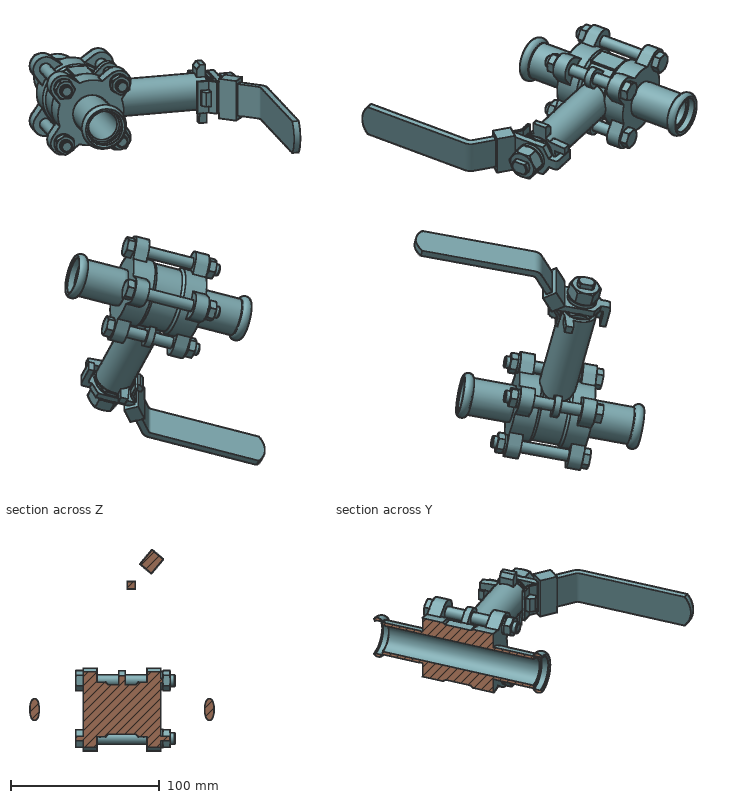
import cadquery as cq
import math


pipe_half_length = 62.0
pipe_dia = 25.5
neck_dia = 25.0
neck_length = 1.0
neck_taper = 1.1
bore_dia = 20.0
socket_dia = 25.5
socket_depth = 6.0
lead_in_dia = 22.8
lead_in_depth = 0.5
bead_dia = 30.8
bead_width = 6.8
mouth_dia = 27.3
lip_dia = 24.0
lip_bevel_depth = 0.7
cap_dia = 46.0
middle_dia = 43.0
middle_half_length = 9.1
cap_inner_x = 11.0
cap_outer_x = 26.2

bolt_circle_dia = 55.0
bolt_offset = bolt_circle_dia / 2 / math.sqrt(2)
lobe_radius = 8.5
lobe_thickness = 9.5
lobe_root_angle = 20.0
ear_radius = 6.75
ear_half_thickness = 2.3
ear_root_angle = 26.2
bolt_dia = 8.0
bolt_tip_x = 35.9
bolt_tip_chamfer = 0.7
hex_flats = 12.0
hex_bevel_dia = 12.5
head_height = 5.0
washer_dia = 12.5
washer_thickness = 1.4
nut_height = 4.8

pad_half_length = 9.6
pad_width = 13.7
pad_top_z = 21.9

tube_dia = 25.0
tube_top_y = 86.2
lug_height = 6.0
lug_reach = 20.0
lug_width = 10.0
lug_chamfer_out = 3.0
lug_chamfer_down = 2.3
stop_height = 5.2
stop_end_z = 8.5
stop_taper = 5.0
stack_dia = 20.0
lock_nut_bottom_y = 88.2
lock_nut_flats = 22.4
lock_nut_bevel_dia = 21.0
lock_nut_bevel_angle = 45.0
stem_nut_bottom_y = 98.3
stem_nut_height = 9.6
stem_nut_flats = 18.8
stem_nut_bevel_dia = 18.6
stem_dia = 11.8
stem_flats = 8.2
stem_tip_y = 111.5
stem_tip_chamfer = 0.6

lever_thickness = 4.5
lever_half_width = 11.2
lever_angle = 50.0
lever_plate_y = 95.9
grip_y = 120.0
grip_end_x = 119.95
grip_arc_sagitta = 4.45
first_bend_x = 14.4
outer_bend_radius = 7.5
hook_x = -20.2
hook_thickness = 4.0
hook_half_width = 3.5
hook_bottom_y = 79.4
hook_bend_radius = 2.2
hook_inner_radius = 1.0
shoulder_start_x = -13.5
shoulder_end_x = -8.9

sleeve_center = (20.0, 99.5)
sleeve_length = 12.7
sleeve_depth = 10.1
sleeve_half_width = 14.0
tongue_thickness = 1.6
tongue_x = 12.7
tongue_knee_y = 86.5
tongue_bottom_y = 78.1


def x_cylinder(dia, x_start, x_end):
    return cq.Workplane("YZ", origin=(x_start, 0, 0)).circle(dia / 2).extrude(x_end - x_start)


def y_cylinder(dia, y_start, y_end):
    return cq.Workplane("XZ", origin=(0, y_start, 0)).circle(dia / 2).extrude(y_start - y_end)


def box(x_range, y_range, z_range):
    size = [high - low for low, high in (x_range, y_range, z_range)]
    corner = (x_range[0], y_range[0], z_range[0])
    return cq.Workplane("XY").box(*size, centered=False).translate(corner)


def hexagon(flats, bevel_dia, height, bevel_angle=30.0, bevel_bottom=True):
    """Hexagonal prism along +Z with corners on X, its ends turned down conically to bevel_dia."""
    corner_radius = flats / 2 / math.cos(math.pi / 6)
    inset = corner_radius - bevel_dia / 2
    drop = inset * math.tan(math.radians(bevel_angle))
    prism = cq.Workplane("XY").polygon(6, 2 * corner_radius).extrude(height)
    outline = cq.Workplane("XZ")
    if bevel_bottom:
        outline = outline.lineTo(bevel_dia / 2, 0).lineTo(corner_radius, drop)
    else:
        outline = outline.lineTo(corner_radius, 0)
    outline = outline.lineTo(corner_radius, height - drop).lineTo(bevel_dia / 2, height).lineTo(0, height)
    return prism.intersect(outline.close().revolve(360, (0, 0, 0), (0, 1, 0)))


def lobe(radius, root_radius, root_angle, x_start, x_end):
    """Bolt lobe in the +Y +Z corner: a round end with sides running tangent to the body."""
    center = (bolt_offset, bolt_offset)
    spread = math.radians(root_angle)
    root = (root_radius * math.cos(spread), root_radius * math.sin(spread))
    toward_root = (root[0] - center[0], root[1] - center[1])
    distance = math.hypot(*toward_root)
    angle = math.atan2(toward_root[1], toward_root[0]) + math.acos(radius / distance)
    tangent = (center[0] + radius * math.cos(angle), center[1] + radius * math.sin(angle))
    tip = bolt_offset + radius / math.sqrt(2)
    return (
        cq.Workplane("YZ", origin=(x_start, 0, 0))
        .moveTo(0, 0)
        .lineTo(*root)
        .lineTo(*tangent)
        .threePointArc((tip, tip), tangent[::-1])
        .lineTo(*root[::-1])
        .close()
        .extrude(x_end - x_start)
    )


def make_pipe_half():
    """Solid pipe end on the +X side, from the neck at the body to the rounded bead at the mouth."""
    neck_end = cap_outer_x + neck_length
    bead_start = pipe_half_length - bead_width
    outline = (
        cq.Workplane("XY")
        .moveTo(0, 0)
        .lineTo(0, neck_dia / 2)
        .lineTo(neck_end, neck_dia / 2)
        .lineTo(neck_end + neck_taper, pipe_dia / 2)
        .lineTo(bead_start, pipe_dia / 2)
        .threePointArc((bead_start + bead_width / 2, bead_dia / 2), (pipe_half_length, mouth_dia / 2))
        .lineTo(pipe_half_length, 0)
        .close()
    )
    return outline.revolve(360, (0, 0, 0), (1, 0, 0))


def make_body():
    """Middle section between two flanged end caps, with two bolt ears and a flat pad on top."""
    body = x_cylinder(middle_dia, -cap_inner_x, cap_inner_x)
    cap = (
        cq.Workplane("XY")
        .moveTo(middle_half_length, 0)
        .lineTo(middle_half_length, middle_dia / 2)
        .lineTo(cap_inner_x, cap_dia / 2)
        .lineTo(cap_outer_x, cap_dia / 2)
        .lineTo(cap_outer_x, 0)
        .close()
        .revolve(360, (0, 0, 0), (1, 0, 0))
    )
    half = cap.union(make_pipe_half())
    corner = lobe(lobe_radius, cap_dia / 2, lobe_root_angle, cap_outer_x - lobe_thickness, cap_outer_x)
    for quarter in range(4):
        half = half.union(corner.rotate((0, 0, 0), (1, 0, 0), 90 * quarter))
    body = body.union(half).union(half.mirror("YZ"))

    ear = lobe(ear_radius, middle_dia / 2, ear_root_angle, -ear_half_thickness, ear_half_thickness)
    body = body.union(ear).union(ear.mirror("XY"))
    pad = box((-pad_half_length, pad_half_length), (-pad_width / 2, pad_width / 2), (0, pad_top_z))
    return body.union(pad)


def cut_bore(body):
    """Cut the through bore and the stepped, lipped socket at each mouth."""
    body = body.cut(x_cylinder(bore_dia, -pipe_half_length, pipe_half_length))
    step_x = pipe_half_length - socket_depth
    lead_in_end_x = step_x - lead_in_depth
    lip_x = pipe_half_length - lip_bevel_depth
    lip_back_x = lip_x - lip_bevel_depth
    socket = (
        cq.Workplane("XY")
        .moveTo(lead_in_end_x, 0)
        .lineTo(lead_in_end_x, bore_dia / 2)
        .lineTo(step_x, lead_in_dia / 2)
        .lineTo(step_x, socket_dia / 2)
        .lineTo(lip_back_x, socket_dia / 2)
        .lineTo(lip_x, lip_dia / 2)
        .lineTo(pipe_half_length, mouth_dia / 2)
        .lineTo(pipe_half_length, 0)
        .close()
        .revolve(360, (0, 0, 0), (1, 0, 0))
    )
    return body.cut(socket).cut(socket.mirror("YZ"))


def make_bolt(y_side, z_side):
    """Bolt with its head on the -X flange and a washer and nut on the +X flange."""
    nut_x = cap_outer_x + washer_thickness
    shank = x_cylinder(bolt_dia, -cap_outer_x, bolt_tip_x).faces(">X").chamfer(bolt_tip_chamfer)
    head = hexagon(hex_flats, hex_bevel_dia, head_height, bevel_bottom=False)
    head = head.rotate((0, 0, 0), (0, 1, 0), -90).translate((-cap_outer_x, 0, 0))
    nut = hexagon(hex_flats, hex_bevel_dia, nut_height)
    nut = nut.rotate((0, 0, 0), (0, 1, 0), 90).translate((nut_x, 0, 0))
    washer = x_cylinder(washer_dia, cap_outer_x, nut_x)
    bolt = shank.union(head).union(washer).union(nut)
    if y_side != z_side:
        bolt = bolt.rotate((0, 0, 0), (1, 0, 0), 90)
    return bolt.translate((0, y_side * bolt_offset, z_side * bolt_offset))


def make_stop_lugs():
    """Two bevelled lugs on +X and +Z and two tapered stops on -X and -Z at the top of the tube."""
    bottom_y = tube_top_y - lug_height
    bevelled = (
        cq.Workplane("XY")
        .moveTo(0, tube_top_y)
        .lineTo(lug_reach, tube_top_y)
        .lineTo(lug_reach, bottom_y + lug_chamfer_down)
        .lineTo(lug_reach - lug_chamfer_out, bottom_y)
        .lineTo(0, bottom_y)
        .close()
        .extrude(lug_width / 2, both=True)
    )
    stop = (
        cq.Workplane("XZ", origin=(0, tube_top_y, 0))
        .moveTo(-lug_reach, hook_half_width)
        .lineTo(-lug_reach, stop_end_z)
        .lineTo(0, stop_end_z + lug_reach * math.tan(math.radians(stop_taper)))
        .lineTo(0, hook_half_width)
        .close()
        .extrude(stop_height)
    )
    lugs = bevelled.union(bevelled.rotate((0, 0, 0), (0, 1, 0), -90))
    second_stop = stop.mirror("XY").rotate((0, 0, 0), (0, 1, 0), -90)
    return lugs.union(stop).union(second_stop)


def make_stem():
    """Stem tube rooted in the body wall, carrying the lock nut, the stem nut and the flatted tip."""
    lever_bottom_y = lever_plate_y - lever_thickness
    wall_middle_y = (middle_dia + bore_dia) / 4
    stem = y_cylinder(tube_dia, wall_middle_y, tube_top_y).union(make_stop_lugs())
    stem = stem.union(y_cylinder(stack_dia, tube_top_y, stem_nut_bottom_y))
    lock_nut_height = lever_bottom_y - lock_nut_bottom_y
    lock_nut = hexagon(
        lock_nut_flats, lock_nut_bevel_dia, lock_nut_height, lock_nut_bevel_angle, bevel_bottom=False
    )
    lock_nut = lock_nut.rotate((0, 0, 0), (1, 0, 0), -90).translate((0, lock_nut_bottom_y, 0))
    nut = hexagon(stem_nut_flats, stem_nut_bevel_dia, stem_nut_height)
    nut = nut.rotate((0, 0, 0), (1, 0, 0), -90).translate((0, stem_nut_bottom_y, 0))
    tip = y_cylinder(stem_dia, stem_nut_bottom_y, stem_tip_y).faces(">Y").chamfer(stem_tip_chamfer)
    flats = box((-stem_dia, stem_dia), (0, stem_tip_y), (-stem_flats / 2, stem_flats / 2))
    return stem.union(lock_nut).union(nut).union(tip.intersect(flats))


def make_lever():
    """Bent flat bar with a rounded grip end and a narrow hook on the -X side."""
    slope = math.radians(lever_angle)
    bend_shift = lever_thickness * math.tan(slope / 2)
    second_bend_x = first_bend_x + (grip_y - lever_plate_y) / math.tan(slope)
    plate_bottom_y = lever_plate_y - lever_thickness
    profile = (
        cq.Workplane("XY")
        .moveTo(hook_x, hook_bottom_y)
        .lineTo(hook_x, lever_plate_y)
        .lineTo(first_bend_x, lever_plate_y)
        .lineTo(second_bend_x, grip_y)
        .lineTo(grip_end_x, grip_y)
        .lineTo(grip_end_x, grip_y - lever_thickness)
        .lineTo(second_bend_x + bend_shift, grip_y - lever_thickness)
        .lineTo(first_bend_x + bend_shift, plate_bottom_y)
        .lineTo(hook_x + hook_thickness, plate_bottom_y)
        .lineTo(hook_x + hook_thickness, hook_bottom_y)
        .close()
        .extrude(lever_half_width, both=True)
    )
    bends = [
        (hook_x, lever_plate_y, hook_bend_radius),
        (hook_x + hook_thickness, plate_bottom_y, hook_inner_radius),
        (second_bend_x, grip_y, outer_bend_radius),
        (second_bend_x + bend_shift, grip_y - lever_thickness, outer_bend_radius - lever_thickness),
    ]
    for x, y, radius in bends:
        profile = profile.edges(cq.selectors.NearestToPointSelector((x, y, 0))).fillet(radius)

    arc_start_x = grip_end_x - grip_arc_sagitta
    plan = (
        cq.Workplane("XZ")
        .moveTo(hook_x, -hook_half_width)
        .lineTo(shoulder_start_x, -hook_half_width)
        .lineTo(shoulder_end_x, -lever_half_width)
        .lineTo(arc_start_x, -lever_half_width)
        .threePointArc((grip_end_x, 0), (arc_start_x, lever_half_width))
        .lineTo(shoulder_end_x, lever_half_width)
        .lineTo(shoulder_start_x, hook_half_width)
        .lineTo(hook_x, hook_half_width)
        .close()
        .extrude(-grip_y - lever_thickness)
    )
    return profile.intersect(plan)


def make_lock():
    """Sleeve that slides on the inclined part of the lever, with a bent locking tongue."""
    slope = math.radians(lever_angle)
    sleeve = cq.Workplane("XY").box(sleeve_length, sleeve_depth, 2 * sleeve_half_width)
    sleeve = sleeve.rotate((0, 0, 0), (0, 0, 1), lever_angle).translate((*sleeve_center, 0))
    reach = (math.cos(slope) * sleeve_length / 2, math.sin(slope) * sleeve_length / 2)
    knee_shift = tongue_thickness * math.tan((math.pi / 2 - slope) / 2)
    tongue = (
        cq.Workplane("XY")
        .moveTo(tongue_x, tongue_bottom_y)
        .lineTo(tongue_x, tongue_knee_y)
        .line(*reach)
        .line(tongue_thickness * math.sin(slope), -tongue_thickness * math.cos(slope))
        .lineTo(tongue_x + tongue_thickness, tongue_knee_y - knee_shift)
        .lineTo(tongue_x + tongue_thickness, tongue_bottom_y)
        .close()
        .extrude(lever_half_width, both=True)
    )
    return sleeve.union(tongue)


result = cut_bore(make_body().union(make_stem()))
for y_sign in (-1, 1):
    for z_sign in (-1, 1):
        result = result.union(make_bolt(y_sign, z_sign))
result = result.union(make_lever()).union(make_lock())